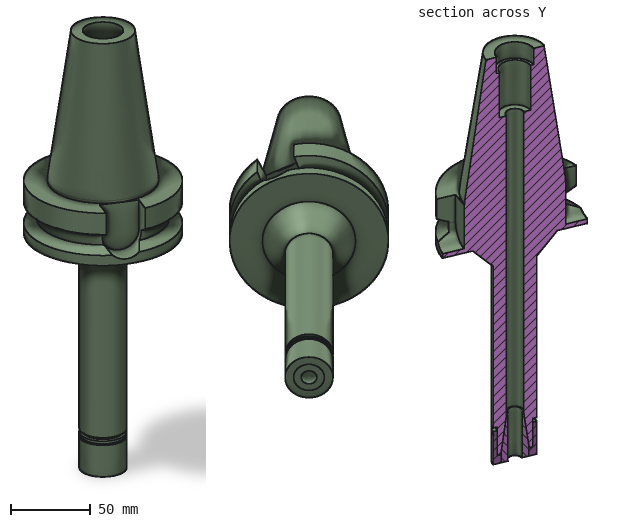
import cadquery as cq
import math

total_height = 301.8
gauge_z = 200.0
flange_top_z = 198.3
upper_rim_bottom_z = 183.5
groove_top_z = 179.3
groove_bottom_z = 172.5
lower_rim_top_z = 169.0
flange_bottom_z = 162.0
shank_top_z = 147.0
shank_bottom_z = 27.2
nut_top_z = 24.7
spigot_bottom_z = 6.0

taper_top_radius = 20.2
taper_base_radius = 35.0
flange_radius = 100.0 / 2
groove_radius = 42.0
cone_top_radius = 29.3
shank_radius = 15.0
spigot_radius = 12.5

counterbore_radius = 12.7
counterbore_depth = 12.0
middle_bore_radius = 10.5
middle_bore_depth = 45.3
through_bore_radius = 6.0

slot_width = 25.7
slot_floor_x = 35.3
slot_bottom_z = 165.7

collet_radius = 9.7
collet_bore_radius = 4.8
collet_height = 36.2
collet_taper_angle = 8.0
collet_top_radius = (
    collet_radius - (collet_height - spigot_bottom_z) * math.tan(math.radians(collet_taper_angle))
)

score_z = 22.3
score_width = 1.0
score_depth = 0.3


def disc(radius, bottom_z, top_z):
    """Upright cylinder on the Z axis."""
    return cq.Workplane("XY").workplane(offset=bottom_z).circle(radius).extrude(top_z - bottom_z)


def turned(profile):
    """Revolve a closed (radius, z) profile about the Z axis."""
    return cq.Workplane("XZ").polyline(profile).close().revolve(360, (0, 0, 0), (0, 1, 0))


def make_drive_slot(side):
    """Round-bottomed slot cutter, on the +X (side = 1) or -X (side = -1) edge of the flange."""
    half_width = slot_width / 2
    arc_center_z = slot_bottom_z + half_width
    return (
        cq.Workplane("YZ", origin=(side * slot_floor_x, 0, 0))
        .moveTo(-half_width, gauge_z)
        .lineTo(-half_width, arc_center_z)
        .threePointArc((0, slot_bottom_z), (half_width, arc_center_z))
        .lineTo(half_width, gauge_z)
        .close()
        .extrude(side * flange_radius)
    )


def make_collet_blank():
    """Collet without its bore: a short cylinder below a slender cone."""
    return turned([
        (0, 0),
        (collet_radius, 0),
        (collet_radius, spigot_bottom_z),
        (collet_top_radius, collet_height),
        (0, collet_height),
    ])


def make_holder():
    """Taper, grooved flange, shank and spigot, bored through and seating the collet."""
    holder = turned([
        (0, spigot_bottom_z),
        (spigot_radius, spigot_bottom_z),
        (spigot_radius, shank_bottom_z),
        (shank_radius, shank_bottom_z),
        (shank_radius, shank_top_z),
        (cone_top_radius, flange_bottom_z),
        (flange_radius, flange_bottom_z),
        (flange_radius, lower_rim_top_z),
        (groove_radius, groove_bottom_z),
        (groove_radius, groove_top_z),
        (flange_radius, upper_rim_bottom_z),
        (flange_radius, flange_top_z),
        (taper_base_radius, flange_top_z),
        (taper_base_radius, gauge_z),
        (taper_top_radius, total_height),
        (0, total_height),
    ])
    for side in (-1, 1):
        holder = holder.cut(make_drive_slot(side))
    holder = holder.cut(disc(counterbore_radius, total_height - counterbore_depth, total_height))
    holder = holder.cut(disc(middle_bore_radius, total_height - middle_bore_depth, total_height))
    holder = holder.cut(disc(through_bore_radius, spigot_bottom_z, total_height))
    return holder.cut(make_collet_blank())


def make_collet():
    return make_collet_blank().cut(disc(collet_bore_radius, 0, collet_height))


def make_nut():
    """Cup around the spigot, with an opening for the collet and a fine score line outside."""
    nut = disc(shank_radius, 0, nut_top_z)
    nut = nut.cut(disc(spigot_radius, spigot_bottom_z, nut_top_z))
    nut = nut.cut(disc(collet_radius, 0, spigot_bottom_z))
    score_bottom_z = score_z - score_width / 2
    score_top_z = score_z + score_width / 2
    score = disc(shank_radius, score_bottom_z, score_top_z).cut(
        disc(shank_radius - score_depth, score_bottom_z, score_top_z)
    )
    return nut.cut(score)


holder = make_holder()
collet = make_collet()
nut = make_nut()

result = cq.Compound.makeCompound([holder.val(), collet.val(), nut.val()])